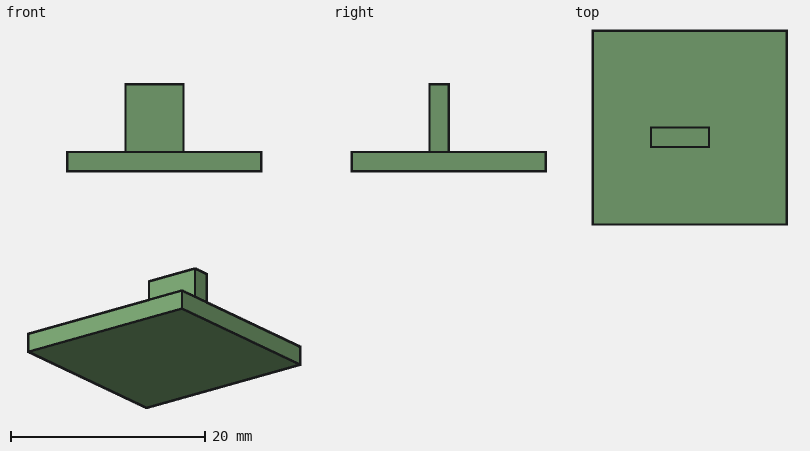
import cadquery as cq

plate_side = 20
plate_thickness = 2

tab_length = 6
tab_thickness = 2
tab_height = 7
tab_left_inset = 6


def make_plate():
    """Plate centred on the origin in X and Y, resting on Z = 0."""
    return cq.Workplane("XY").box(
        plate_side, plate_side, plate_thickness, centered=(True, True, False)
    )


def make_tab():
    """Tab whose +Y face lies on the plate's centre line."""
    tab_left = -plate_side / 2 + tab_left_inset
    return (
        cq.Workplane("XY")
        .box(tab_length, tab_thickness, tab_height, centered=False)
        .translate((tab_left, -tab_thickness, plate_thickness))
    )


result = make_plate().union(make_tab())